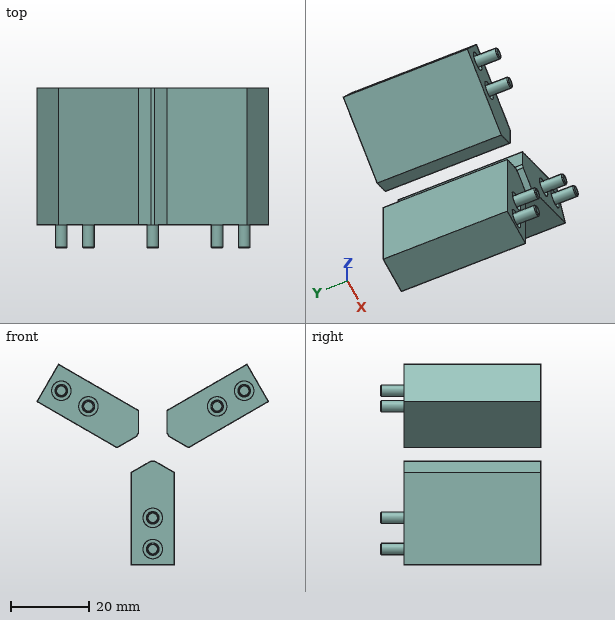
import cadquery as cq
import math

jaw_count = 3
jaw_width = 11.0
jaw_length = 35.05
overall_width = 59.2
wedge_apex_radius = 4.2
tip_flat_width = 1.0

pin_radii = (19.0, 27.0)
pin_diameter = 3.0
pin_protrusion = 6.0
pin_chamfer = 0.3
recess_diameter = 5.0
recess_depth = 1.2
socket_diameter = 3.2
socket_depth = 11.85

outer_radius = (overall_width - jaw_width / 2) / math.sqrt(3)
wedge_slope = math.tan(math.pi / 2 - math.pi / jaw_count)
half_width = jaw_width / 2
half_flat = tip_flat_width / 2
shoulder_radius = wedge_apex_radius + half_width * wedge_slope
tip_radius = wedge_apex_radius + half_flat * wedge_slope
pin_length = pin_protrusion + recess_depth + socket_depth


def rod(diameter, start_y, length, radius):
    """Cylinder along +Y below the Y axis, at the given distance from it."""
    start = cq.Vector(0, start_y, -radius)
    solid = cq.Solid.makeCylinder(diameter / 2, length, start, cq.Vector(0, 1, 0))
    return cq.Workplane("XY").newObject([solid])


def make_jaw():
    """Jaw below the Y axis with its front face at Y = 0 and a stepped hole per pin."""
    jaw = (
        cq.Workplane("XZ")
        .polyline([
            (-half_width, -outer_radius),
            (half_width, -outer_radius),
            (half_width, -shoulder_radius),
            (half_flat, -tip_radius),
            (-half_flat, -tip_radius),
            (-half_width, -shoulder_radius),
        ])
        .close()
        .extrude(-jaw_length)
    )
    for radius in pin_radii:
        jaw = jaw.cut(rod(recess_diameter, 0, recess_depth, radius))
        jaw = jaw.cut(rod(socket_diameter, recess_depth, socket_depth, radius))
    return jaw


def make_pin(radius):
    """Pin that reaches the bottom of its socket, with a chamfered free end."""
    return rod(pin_diameter, -pin_protrusion, pin_length, radius).faces("<Y").chamfer(pin_chamfer)


bodies = []
for index in range(jaw_count):
    angle = index * 360 / jaw_count
    jaw = make_jaw()
    pins = [make_pin(radius) for radius in pin_radii]
    for body in [jaw, *pins]:
        bodies.append(body.rotate((0, 0, 0), (0, 1, 0), angle).val())

result = cq.Compound.makeCompound(bodies)